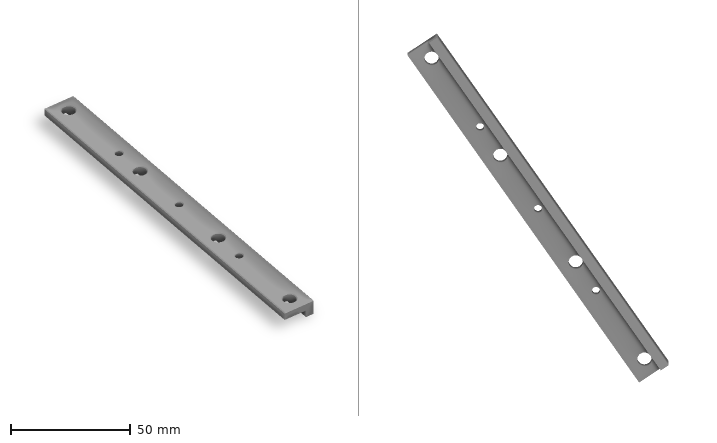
import cadquery as cq

length = 172.0
width = 15.0
height = 7.25

plate_thickness = 3.75
lip_width = 4.0

top_chamfer = 0.4

large_hole_diameter = 6.0
small_hole_diameter = 3.4
end_hole_inset = 7.0
inner_large_hole_offset = 28.0
small_hole_pitch = length / 4

end_hole_offset = length / 2 - end_hole_inset
large_hole_positions = [
    (-end_hole_offset, 0),
    (-inner_large_hole_offset, 0),
    (inner_large_hole_offset, 0),
    (end_hole_offset, 0),
]
small_hole_positions = [
    (-small_hole_pitch, 0),
    (0, 0),
    (small_hole_pitch, 0),
]


def make_bar():
    """L-shaped bar resting on Z = 0, with its lip pointing down."""
    plate = cq.Workplane("XY").box(length, width, plate_thickness, centered=(True, True, False))
    plate = plate.translate((0, 0, height - plate_thickness))
    lip = cq.Workplane("XY").box(length, lip_width, height, centered=(True, True, False))
    lip = lip.translate((0, (width - lip_width) / 2, 0))
    return plate.union(lip)


def drill_through(body, positions, diameter):
    """Cut vertical holes of one diameter through the full height of the body."""
    drills = cq.Workplane("XY").pushPoints(positions).circle(diameter / 2).extrude(height)
    return body.cut(drills)


def chamfer_top_edges(body):
    """Break every edge of the top face, including the hole mouths."""
    return body.faces(">Z").edges().chamfer(top_chamfer)


result = make_bar()
result = drill_through(result, large_hole_positions, large_hole_diameter)
result = drill_through(result, small_hole_positions, small_hole_diameter)
result = chamfer_top_edges(result)